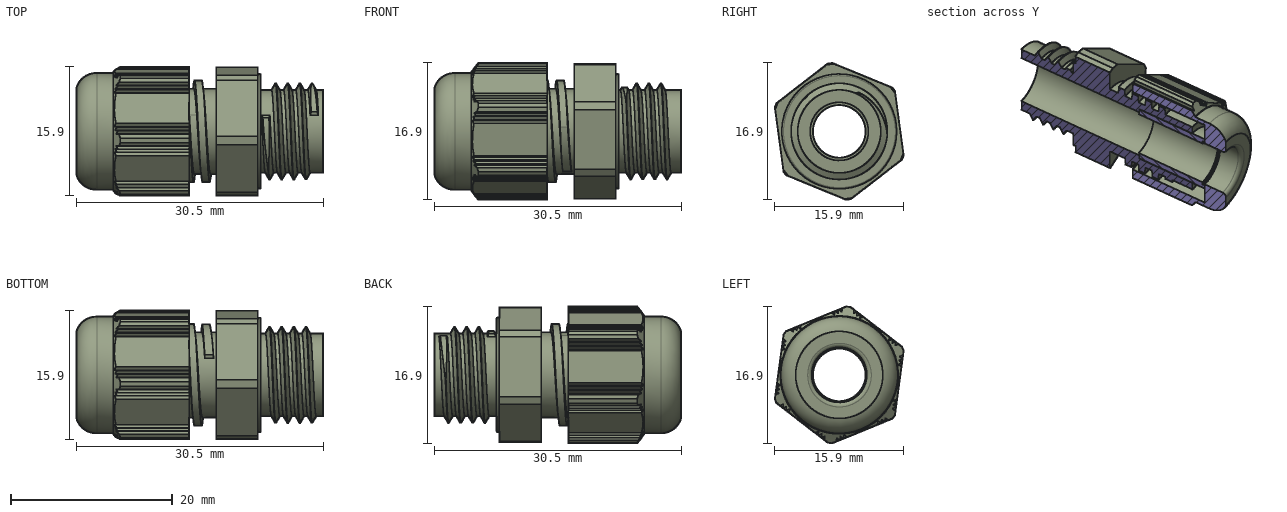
import cadquery as cq
import math


across_flats = 15.0
hex_tilt = 37.7

nut_end_x = 13.93
cap_radius = 14.47 / 2
face_radius = 5.39
dome_end_x = 2.5
nut_hex_x = 4.55
nut_hex_cone_length = 0.9
nut_hex_front_radius = 7.3
nut_corner_radius = 8.507
nut_bore_radius = 6.83 / 2
bore_mouth_radius = 0.52
nut_wall_x = 3.2
nut_cavity_radius = 6.5

notch_count = 3
notch_width = 0.49
notch_depth = 0.4
first_notch = 2.02

seal_radius = 4.22
seal_bore_radius = 6.48 / 2
seal_mouth_radius = 7.2 / 2
seal_mouth_depth = 0.28
seal_end_x = 13.0

body_start_x = 5.0
neck_radius = 10.6 / 2
body_hex_x = 17.28
body_hex_end_x = 22.45
body_corner_flat = 1.05
flange_thickness = 0.37
flange_radius = 14.21 / 2
shank_radius = 10.27 / 2
body_end_x = 30.5
body_bore_radius = 3.6

neck_thread_end_x = 16.42
neck_thread_angle = 247.5
neck_thread_pitch = 2.0
neck_thread_crest_radius = 6.3
neck_thread_base = 1.1
neck_thread_crest = 0.9
shank_thread_end_x = 29.41
shank_thread_angle = 67.5
shank_thread_pitch = 1.5
shank_thread_crest_radius = 5.95
shank_thread_base = 1.035
shank_thread_crest = 0.08
thread_turns = 4
thread_sink = 0.1
runout_angle = 72.5
runout_start_height = 0.25
end_slope_length = 0.4


def cylinder(start_x, end_x, radius):
    return cq.Workplane("YZ", origin=(start_x, 0, 0)).circle(radius).extrude(end_x - start_x)


def hexagon(start_x, end_x):
    corner_diameter = across_flats / math.cos(math.pi / 6)
    block = cq.Workplane("YZ", origin=(start_x, 0, 0)).polygon(6, corner_diameter).extrude(end_x - start_x)
    return block.rotate((0, 0, 0), (1, 0, 0), hex_tilt)


def grip_notches():
    """V grooves along X, in a row on both sides of the middle of each flat."""
    flat_distance = across_flats / 2
    row = cq.Workplane("YZ", origin=(nut_hex_x, 0, 0))
    for side in (-1, 1):
        for index in range(notch_count):
            inner = side * (first_notch + index * notch_width)
            outer = inner + side * notch_width
            middle = (inner + outer) / 2
            row = row.moveTo(flat_distance, inner).lineTo(flat_distance - notch_depth, middle)
            row = row.lineTo(flat_distance, outer).close()
    row = row.extrude(nut_end_x - nut_hex_x)
    notches = cq.Workplane("YZ")
    for flat in range(6):
        flat_angle = hex_tilt + 30 + 60 * flat
        notches = notches.add(row.rotate((0, 0, 0), (1, 0, 0), flat_angle))
    return notches


def make_nut():
    grip = hexagon(nut_hex_x, nut_end_x)
    for groove in grip_notches().vals():
        grip = grip.cut(cq.Workplane(groove))
    cone_end_x = nut_hex_x + nut_hex_cone_length
    corner_turning = (
        cq.Workplane("XY")
        .moveTo(nut_hex_x, 0)
        .lineTo(nut_hex_x, nut_hex_front_radius)
        .lineTo(cone_end_x, nut_corner_radius)
        .lineTo(nut_end_x, nut_corner_radius)
        .lineTo(nut_end_x, 0)
        .close()
        .revolve(360, (0, 0, 0), (1, 0, 0))
    )
    grip = grip.intersect(corner_turning)

    dome_drop = cap_radius - face_radius
    dome_radius = (dome_end_x ** 2 + dome_drop ** 2) / (2 * dome_drop)
    half_sweep = math.asin(dome_end_x / dome_radius) / 2
    dome_middle = (
        dome_end_x - dome_radius * math.sin(half_sweep),
        cap_radius - dome_radius * (1 - math.cos(half_sweep)),
    )
    cap = (
        cq.Workplane("XY")
        .moveTo(0, 0)
        .lineTo(0, face_radius)
        .threePointArc(dome_middle, (dome_end_x, cap_radius))
        .lineTo(nut_hex_x, cap_radius)
        .lineTo(nut_hex_x, 0)
        .close()
        .revolve(360, (0, 0, 0), (1, 0, 0))
    )
    nut = cap.union(grip)
    nut = nut.cut(cylinder(0, nut_wall_x, nut_bore_radius))
    nut = nut.cut(cylinder(nut_wall_x, nut_end_x, nut_cavity_radius))
    mouth_edge = cq.selectors.RadiusNthSelector(0)
    return nut.faces("<X").edges(mouth_edge).fillet(bore_mouth_radius)


def make_seal():
    seal = cylinder(nut_wall_x, seal_end_x, seal_radius)
    seal = seal.cut(cylinder(nut_wall_x, seal_end_x, seal_bore_radius))
    return seal.cut(cylinder(nut_wall_x, nut_wall_x + seal_mouth_depth, seal_mouth_radius))


def make_thread(end_x, angle, pitch, root_radius, crest_radius, base, crest):
    """Right-handed ridge along X that rises from its core at both ends."""
    length = pitch * thread_turns
    start_x = end_x - length
    sunk_radius = root_radius - thread_sink
    helix = cq.Wire.makeHelix(pitch, length, sunk_radius)
    ridge = (
        cq.Workplane("XZ")
        .moveTo(sunk_radius, -base / 2)
        .lineTo(root_radius, -base / 2)
        .lineTo(crest_radius, -crest / 2)
        .lineTo(crest_radius, crest / 2)
        .lineTo(root_radius, base / 2)
        .lineTo(sunk_radius, base / 2)
        .close()
        .sweep(cq.Workplane(helix), isFrenet=True)
    )
    ridge = ridge.rotate((0, 0, 0), (1, 1, 1), 120)
    ridge = ridge.rotate((0, 0, 0), (1, 0, 0), angle).translate((start_x, 0, 0))

    low_radius = root_radius + runout_start_height
    reach = crest_radius * math.cos(math.radians(runout_angle))
    offset = (crest_radius ** 2 - low_radius ** 2) / (2 * (low_radius - reach))
    keep_radius = low_radius + offset

    notch_height = crest_radius - root_radius
    notch_half_width = notch_height * end_slope_length / runout_start_height
    for trim_x in (start_x - pitch / 2, end_x - pitch / 2):
        keep = cylinder(trim_x, trim_x + pitch, keep_radius).translate((0, -offset, 0))
        notch = (
            cq.Workplane("YZ", origin=(trim_x, 0, 0))
            .moveTo(root_radius, 0)
            .lineTo(crest_radius, -notch_half_width)
            .lineTo(crest_radius, notch_half_width)
            .close()
            .extrude(pitch)
        )
        trim = cylinder(trim_x, trim_x + pitch, 2 * crest_radius).cut(keep.cut(notch))
        ridge = ridge.cut(trim.rotate((0, 0, 0), (1, 0, 0), angle))
    return ridge


def make_flange():
    """Thin disc with a rim rounded over from both faces."""
    end_x = body_hex_end_x + flange_thickness
    rim_radius = flange_thickness / 2
    rim_base = flange_radius - rim_radius
    rim_middle_x = body_hex_end_x + rim_radius
    diagonal = rim_radius * math.sqrt(0.5)
    return (
        cq.Workplane("XY")
        .moveTo(body_hex_end_x, 0)
        .lineTo(body_hex_end_x, rim_base)
        .threePointArc((rim_middle_x - diagonal, rim_base + diagonal), (rim_middle_x, flange_radius))
        .threePointArc((rim_middle_x + diagonal, rim_base + diagonal), (end_x, rim_base))
        .lineTo(end_x, 0)
        .close()
        .revolve(360, (0, 0, 0), (1, 0, 0))
    )


def make_body():
    neck = cylinder(body_start_x, body_hex_x, neck_radius)
    neck = neck.rotate((0, 0, 0), (1, 0, 0), neck_thread_angle + 180)
    neck = neck.union(make_thread(
        neck_thread_end_x, neck_thread_angle, neck_thread_pitch,
        neck_radius, neck_thread_crest_radius, neck_thread_base, neck_thread_crest,
    ))
    shank = cylinder(body_hex_end_x + flange_thickness, body_end_x, shank_radius)
    shank = shank.rotate((0, 0, 0), (1, 0, 0), shank_thread_angle + 180)
    shank = shank.union(make_thread(
        shank_thread_end_x, shank_thread_angle, shank_thread_pitch,
        shank_radius, shank_thread_crest_radius, shank_thread_base, shank_thread_crest,
    ))
    corner_setback = body_corner_flat / 2 / math.cos(math.pi / 6)
    collar = hexagon(body_hex_x, body_hex_end_x).edges("|X").chamfer(corner_setback)
    body = collar.union(make_flange()).union(neck).union(shank)
    body = body.cut(cylinder(body_start_x, seal_end_x, seal_radius))
    return body.cut(cylinder(seal_end_x, body_end_x, body_bore_radius))


nut = make_nut()
seal = make_seal()
body = make_body()

result = cq.Compound.makeCompound([nut.val(), seal.val(), body.val()])